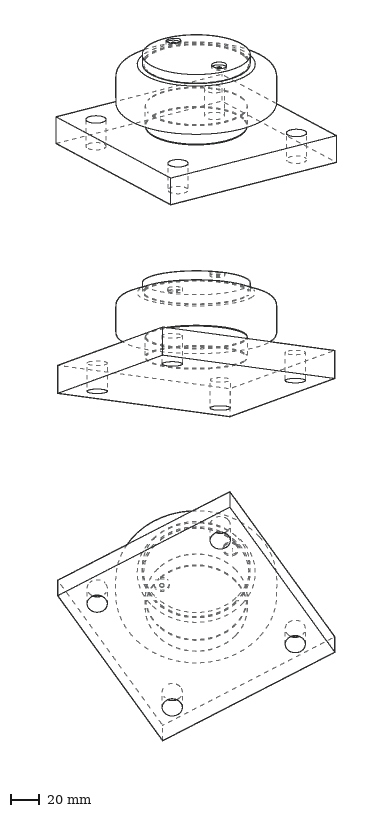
import math

import cadquery as cq

plate_side = 140.0
plate_thickness = 20.0
bolt_spacing = 100.0
bolt_hole_diameter = 14.0

neck_diameter = 71.0
neck_chamfer_width = 0.25
neck_chamfer_height = 0.7

roller_diameter = 112.0
roller_bottom_z = 35.2
lower_round_radius = 3.0
crown_bottom_z = roller_bottom_z + lower_round_radius
crown_top_z = 57.2
crown_rise = 0.1
shoulder_diameter = 105.4
shoulder_z = 62.0
roller_top_diameter = 82.0
roller_top_z = 66.3

total_height = 75.0
cap_diameter = 75.0
cap_edge_z = 73.5
flat_diameter = 56.0
cap_hub_diameter = 73.0
cap_gap = 0.5

screw_spacing = 56.0
screw_recess_diameter = 10.4
screw_recess_depth = 2.0
socket_diameter = 3.0
socket_depth = 0.5


def make_plate():
    """Square plate, resting on Z = 0, with a bolt hole near each corner."""
    plate = cq.Workplane("XY").box(plate_side, plate_side, plate_thickness, centered=(True, True, False))
    holes = (
        cq.Workplane("XY")
        .rect(bolt_spacing, bolt_spacing, forConstruction=True)
        .vertices()
        .circle(bolt_hole_diameter / 2)
        .extrude(plate_thickness)
    )
    return plate.cut(holes)


def make_turned_body():
    """Neck, slightly crowned roller, hub and cap, revolved about Z as one profile."""
    neck_r = neck_diameter / 2
    crown_r = roller_diameter / 2
    edge_r = crown_r - crown_rise
    neck_end_r = neck_r - neck_chamfer_width
    hub_r = cap_hub_diameter / 2
    cap_bottom_z = roller_top_z + cap_gap
    cap_r = cap_diameter / 2
    crown_mid_z = (crown_bottom_z + crown_top_z) / 2
    lower_flat_r = edge_r - lower_round_radius
    round_reach = lower_round_radius * math.sqrt(0.5)
    round_mid = (lower_flat_r + round_reach, crown_bottom_z - round_reach)
    profile = (
        cq.Workplane("XZ")
        .moveTo(0, plate_thickness)
        .lineTo(neck_end_r, plate_thickness)
        .lineTo(neck_r, plate_thickness + neck_chamfer_height)
        .lineTo(neck_r, roller_bottom_z - neck_chamfer_height)
        .lineTo(neck_end_r, roller_bottom_z)
        .lineTo(lower_flat_r, roller_bottom_z)
        .threePointArc(round_mid, (edge_r, crown_bottom_z))
        .threePointArc((crown_r, crown_mid_z), (edge_r, crown_top_z))
        .tangentArcPoint((shoulder_diameter / 2, shoulder_z), relative=False)
        .lineTo(roller_top_diameter / 2, roller_top_z)
        .lineTo(hub_r, roller_top_z)
        .lineTo(hub_r, cap_bottom_z)
        .lineTo(cap_r, cap_bottom_z)
        .lineTo(cap_r, cap_edge_z)
        .lineTo(flat_diameter / 2, total_height)
        .lineTo(0, total_height)
        .close()
    )
    return profile.revolve(360, (0, 0, 0), (0, 1, 0))


def cut_cap_pockets(solid, diameter, depth):
    """Cut a pair of round pockets, measured down from the flat top of the cap."""
    pocket_x = screw_spacing / 2
    pockets = (
        cq.Workplane("XY")
        .workplane(offset=total_height - depth)
        .pushPoints([(-pocket_x, 0), (pocket_x, 0)])
        .circle(diameter / 2)
        .extrude(depth)
    )
    return solid.cut(pockets)


body = make_plate().union(make_turned_body())
body = cut_cap_pockets(body, screw_recess_diameter, screw_recess_depth)
result = cut_cap_pockets(body, socket_diameter, screw_recess_depth + socket_depth)